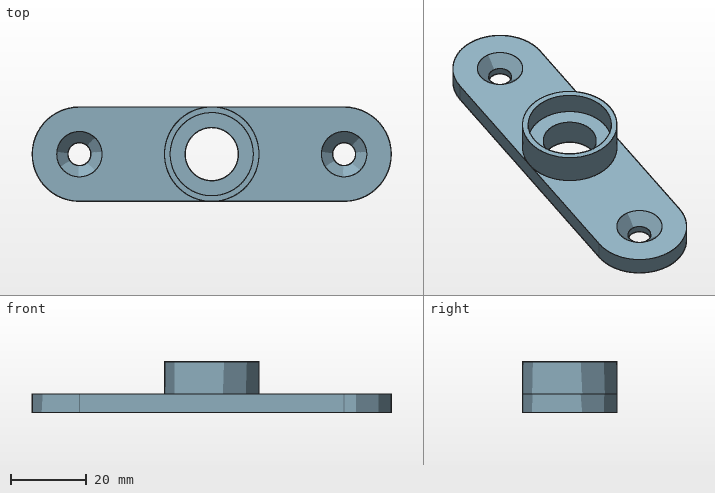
import cadquery as cq

plate_length = 95.0
plate_width = 25.0
plate_thickness = 5.0

total_height = 13.5
socket_diameter = plate_width
socket_bore_diameter = 22.0
socket_bore_depth = 6.0
center_hole_diameter = 14.0

screw_hole_diameter = 6.0
countersink_diameter = 12.0
countersink_angle = 90.0
screw_offset = (plate_length - plate_width) / 2


def make_plate():
    return cq.Workplane("XY").slot2D(plate_length, plate_width).extrude(plate_thickness)


def add_socket(body):
    socket = cq.Workplane("XY").circle(socket_diameter / 2).extrude(total_height)
    return body.union(socket)


def cut_socket_bores(body):
    top = cq.Workplane("XY").workplane(offset=total_height)
    bore = top.circle(socket_bore_diameter / 2).extrude(-socket_bore_depth)
    center_hole = top.circle(center_hole_diameter / 2).extrude(-total_height)
    return body.cut(bore).cut(center_hole)


def cut_screw_holes(body):
    return (
        body.faces(">Z")
        .workplane()
        .pushPoints([(-screw_offset, 0), (screw_offset, 0)])
        .cskHole(screw_hole_diameter, countersink_diameter, countersink_angle)
    )


plate = make_plate()
drilled_plate = cut_screw_holes(plate)
result = cut_socket_bores(add_socket(drilled_plate))